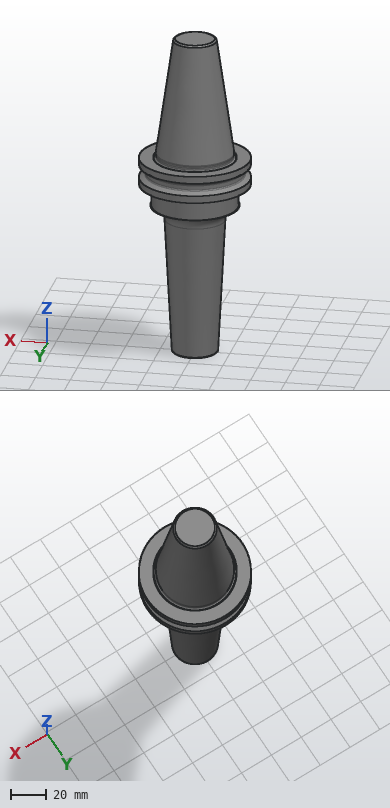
import cadquery as cq
import math

TAPER_LENGTH = 68.4
REACH = 120.0
GAUGE_DIAMETER = 44.45
TAPER_RATIO = 7 / 24
TOP_CHAMFER = 1.0

GAUGE_BAND_BOTTOM = -0.6
NECK_DIAMETER = 44.0
NECK_TOP = -1.7
FACE_GROOVE_DIAMETER = 47.5
FACE_GROOVE_DEPTH = 0.5
FACE_GROOVE_FILLET = 1.0
FACE_GROOVE_CHAMFER = 0.5

FLANGE_DIAMETER = 63.55
FLANGE_TOP = -3.2
FLANGE_BOTTOM = -19.1
V_GROOVE_CENTER = -11.1
V_GROOVE_ROOT_DIAMETER = 56.25
V_GROOVE_ROOT_WIDTH = 3.3
V_GROOVE_FLANK_ANGLE = 30.0
V_GROOVE_ROOT_FILLET = 0.8

COLLAR_DIAMETER = 49.5
COLLAR_BOTTOM = -32.0
SHOULDER_RADIUS = 8.0
NOSE_TIP_DIAMETER = 26.3
NOSE_HALF_ANGLE = 3.0
NOSE_CHAMFER = 0.8


def revolve_profile(profile):
    """Turn a closed (radius, height) profile about the Z axis."""
    return profile.close().revolve(360, (0, 0, 0), (0, 1, 0))


def taper_shank():
    gauge_radius = GAUGE_DIAMETER / 2
    slope = TAPER_RATIO / 2
    chamfer_z = TAPER_LENGTH - TOP_CHAMFER
    top_radius = gauge_radius - TAPER_LENGTH * slope - TOP_CHAMFER
    neck_radius = NECK_DIAMETER / 2
    groove_floor = FLANGE_TOP - FACE_GROOVE_DEPTH
    fillet_center_radius = neck_radius + FACE_GROOVE_FILLET
    diagonal = FACE_GROOVE_FILLET * math.sqrt(0.5)
    profile = (
        cq.Workplane("XZ")
        .moveTo(0, TAPER_LENGTH)
        .lineTo(top_radius, TAPER_LENGTH)
        .lineTo(gauge_radius - chamfer_z * slope, chamfer_z)
        .lineTo(gauge_radius, 0)
        .lineTo(gauge_radius, GAUGE_BAND_BOTTOM)
        .lineTo(neck_radius, NECK_TOP)
        .lineTo(neck_radius, groove_floor + FACE_GROOVE_FILLET)
        .threePointArc(
            (fillet_center_radius - diagonal, groove_floor + FACE_GROOVE_FILLET - diagonal),
            (fillet_center_radius, groove_floor),
        )
        .lineTo(fillet_center_radius, FLANGE_BOTTOM)
        .lineTo(0, FLANGE_BOTTOM)
    )
    return revolve_profile(profile)


def flange():
    rim = FLANGE_DIAMETER / 2
    root = V_GROOVE_ROOT_DIAMETER / 2
    root_half = V_GROOVE_ROOT_WIDTH / 2
    rim_half = root_half + (rim - root) * math.tan(math.radians(V_GROOVE_FLANK_ANGLE))
    groove_radius = FACE_GROOVE_DIAMETER / 2
    groove_floor = FLANGE_TOP - FACE_GROOVE_DEPTH
    profile = (
        cq.Workplane("XZ")
        .moveTo(0, groove_floor)
        .lineTo(groove_radius - FACE_GROOVE_CHAMFER, groove_floor)
        .lineTo(groove_radius, FLANGE_TOP)
        .lineTo(rim, FLANGE_TOP)
        .lineTo(rim, V_GROOVE_CENTER + rim_half)
        .lineTo(root, V_GROOVE_CENTER + root_half)
        .lineTo(root, V_GROOVE_CENTER - root_half)
        .lineTo(rim, V_GROOVE_CENTER - rim_half)
        .lineTo(rim, FLANGE_BOTTOM)
        .lineTo(0, FLANGE_BOTTOM)
    )
    around_root = cq.selectors.BoxSelector(
        (-FLANGE_DIAMETER, -FLANGE_DIAMETER, V_GROOVE_CENTER - rim_half / 2 - root_half / 2),
        (FLANGE_DIAMETER, FLANGE_DIAMETER, V_GROOVE_CENTER + rim_half / 2 + root_half / 2),
    )
    return revolve_profile(profile).edges("%CIRCLE").edges(around_root).fillet(V_GROOVE_ROOT_FILLET)


def collar_and_nose():
    slope = math.tan(math.radians(NOSE_HALF_ANGLE))
    collar_radius = COLLAR_DIAMETER / 2
    arc_end_z = COLLAR_BOTTOM - SHOULDER_RADIUS
    tip_radius = NOSE_TIP_DIAMETER / 2
    nose_top_radius = tip_radius + (REACH + arc_end_z) * slope
    arc_start_radius = nose_top_radius + SHOULDER_RADIUS
    diagonal = SHOULDER_RADIUS * math.sqrt(0.5)
    chamfer_z = -REACH + NOSE_CHAMFER
    profile = (
        cq.Workplane("XZ")
        .moveTo(0, FLANGE_BOTTOM)
        .lineTo(collar_radius, FLANGE_BOTTOM)
        .lineTo(collar_radius, COLLAR_BOTTOM)
        .lineTo(arc_start_radius, COLLAR_BOTTOM)
        .threePointArc((arc_start_radius - diagonal, arc_end_z + diagonal), (nose_top_radius, arc_end_z))
        .lineTo(tip_radius + NOSE_CHAMFER * slope, chamfer_z)
        .lineTo(tip_radius - NOSE_CHAMFER, -REACH)
        .lineTo(0, -REACH)
    )
    return revolve_profile(profile)


result = taper_shank().union(flange()).union(collar_and_nose())